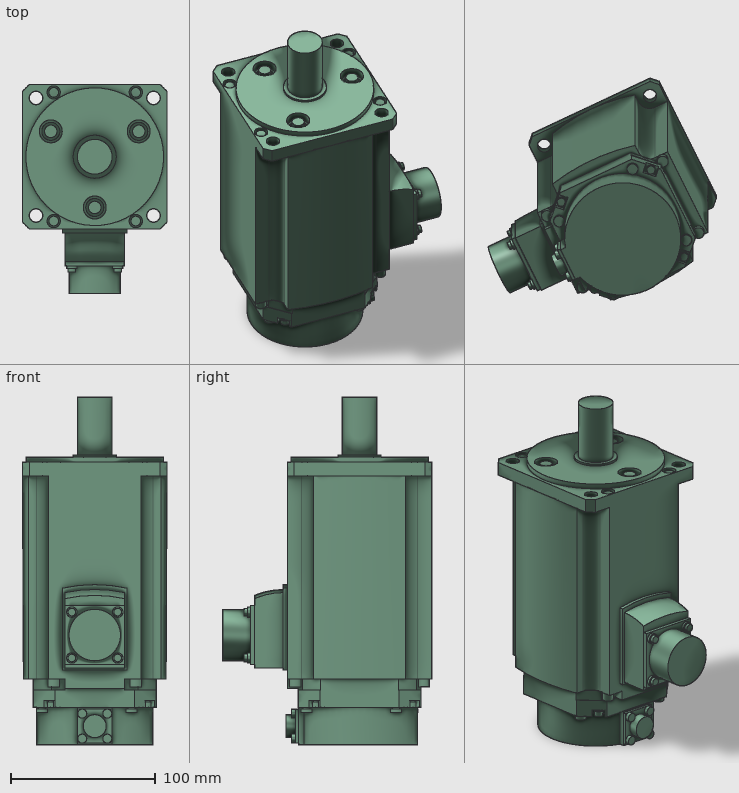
import cadquery as cq
import math

overall_height = 240.5
flange_size = 100.0
half_flange = flange_size / 2
front_face_y = -half_flange
overlap = 1.0

encoder_top = 26.0
body_bottom = 45.5
body_top = 186.1
flange_top = 195.5
pilot_top = 199.1
collar_top = 200.5

shaft_radius = 12.0
collar_radius = 15.0
pilot_radius = 47.5
flange_chamfer = 4.8
mount_hole_spacing = 2 * 40.6
mount_hole_radius = 4.5

pilot_screw_circle = 35.0
pilot_screw_count = 3
pilot_screw_radius = 4.3
pilot_recess_radius = 8.0
pilot_recess_depth = 6.0
pilot_bore_radius = 6.3
pilot_bore_depth = 8.5
screw_top_drop = 1.2

tie_bolt_x = 28.4
tie_bolt_y = 44.5
tie_end_radius = 3.4
tie_recess_radius = 4.5
tie_recess_depth = 3.5
tie_head_radius = 3.8
tie_head_height = 5.3

face_half_width = 32.0
groove_radius = 8.5
groove_floor_y = 31.7
side_edge_x = 46.0
side_bulge_top_x = half_flange
side_bulge_bottom_x = 49.5

adapter_size = 85.1
adapter_half = adapter_size / 2
adapter_chamfer = 15.2
adapter_upper_chamfer = 15.6
notch_x = 20.5
notch_y = 39.5
notch_floor = 38.0
tongue_bottom = 39.0

pocket_width = 9.1
pocket_depth = 6.3
pocket_top = 30.8
pocket_neck_radius = 2.2
pocket_screw_radius = 3.0
pocket_screw_top = 29.5
pocket_screw_inset = 3.0

encoder_radius = 40.2
encoder_pad_y = -42.0
encoder_pad_width = 23.5
clamp_circle = 44.5
clamp_angle = math.degrees(math.atan2(10.5, 15.2))
clamp_head_radius = 3.8
clamp_neck_radius = 2.5
clamp_head_bottom = 22.4
clamp_head_top = 25.0

signal_plate_bottom = 1.2
signal_plate_width = 24.0
signal_plate_height = 23.5
signal_plate_y = -44.3
signal_z = signal_plate_bottom + signal_plate_height / 2
signal_plug_radius = 8.0
signal_plug_end_y = -51.0
signal_screw_pitch = 17.3
signal_screw_radius = 3.1
signal_screw_height = 3.0

dome_axis_z = 7.5
base_half_width = 22.4
base_bottom = 51.7
base_top_radius = 103.5
base_y = -53.0
box_half_width = 20.7
box_bottom = 53.2
box_top_radius = 100.0
box_slope_radius = 49.8
box_y = -72.6
power_z = 76.0
power_plate_y = -75.5
power_plate_half_width = 20.5
power_plug_radius = 17.8
power_plug_end_y = -94.8
power_screw_pitch = 31.7
power_washer_radius = 3.5
power_washer_height = 2.0
power_screw_radius = 2.6
power_screw_height = 4.3


def disc(radius, bottom, top):
    """Cylinder on the Z axis between two heights."""
    return cq.Workplane("XY").workplane(offset=bottom).circle(radius).extrude(top - bottom)


def block(x_range, y_range, z_range):
    """Axis-aligned box between pairs of limits."""
    size = [high - low for low, high in (x_range, y_range, z_range)]
    return cq.Workplane("XY").box(*size, centered=False).translate((x_range[0], y_range[0], z_range[0]))


def forward_studs(points, radius, start_y, end_y):
    """Cylinders along -Y at the given (x, z) points."""
    plane = cq.Workplane("XZ", origin=(0, start_y, 0))
    return plane.pushPoints(points).circle(radius).extrude(start_y - end_y)


def square_points(pitch, center_z):
    """Corners of a square in the XZ plane, centred at x = 0."""
    half = pitch / 2
    return [(x, center_z + z) for x in (-half, half) for z in (-half, half)]


def four_around(shape):
    """The shape repeated every quarter turn about Z."""
    copies = shape
    for turn in range(1, 4):
        copies = copies.union(shape.rotate((0, 0, 0), (0, 0, 1), 90 * turn))
    return copies


tie_points = [(x, y) for x in (-tie_bolt_x, tie_bolt_x) for y in (-tie_bolt_y, tie_bolt_y)]


def recess_screw(part, points, recesses, screw_radius, face_z):
    """Cut stepped recesses below a face and leave the screw end standing in each."""
    deepest = max(depth for _, depth in recesses)
    face = cq.Workplane("XY").workplane(offset=face_z).pushPoints(points)
    for radius, depth in recesses:
        part = part.cut(face.circle(radius).extrude(-depth))
    floor = cq.Workplane("XY").workplane(offset=face_z - deepest - overlap).pushPoints(points)
    return part.union(floor.circle(screw_radius).extrude(deepest + overlap - screw_top_drop))


def make_flange():
    flange = block((-half_flange, half_flange), (-half_flange, half_flange), (body_top, flange_top))
    flange = flange.edges("|Z").chamfer(flange_chamfer)
    holes = cq.Workplane("XY").workplane(offset=body_top)
    holes = holes.rect(mount_hole_spacing, mount_hole_spacing, forConstruction=True).vertices()
    flange = flange.cut(holes.circle(mount_hole_radius).extrude(flange_top - body_top))
    flange = flange.union(disc(pilot_radius, body_top, pilot_top))
    tie_steps = [(tie_recess_radius, tie_recess_depth)]
    flange = recess_screw(flange, tie_points, tie_steps, tie_end_radius, flange_top)
    angles = [math.radians(-90 + 360 / pilot_screw_count * i) for i in range(pilot_screw_count)]
    pilot_points = [(pilot_screw_circle * math.cos(a), pilot_screw_circle * math.sin(a)) for a in angles]
    pilot_steps = [(pilot_recess_radius, pilot_recess_depth), (pilot_bore_radius, pilot_bore_depth)]
    flange = recess_screw(flange, pilot_points, pilot_steps, pilot_screw_radius, pilot_top)
    flange = flange.union(disc(collar_radius, flange_top, collar_top))
    return flange.union(disc(shaft_radius, flange_top, overall_height))


def body_outline(work, bulge_x):
    """Square outline with grooved corners and bulged left and right sides."""
    groove_x = face_half_width + groove_radius
    groove_y = groove_floor_y + groove_radius
    diagonal = groove_radius * math.sqrt(0.5)
    arc_mid = (groove_x - diagonal, groove_y - diagonal)
    return (
        work.moveTo(-face_half_width, -half_flange)
        .lineTo(face_half_width, -half_flange)
        .lineTo(face_half_width, -groove_y)
        .threePointArc((arc_mid[0], -arc_mid[1]), (groove_x, -groove_floor_y))
        .lineTo(side_edge_x, -groove_floor_y)
        .threePointArc((bulge_x, 0), (side_edge_x, groove_floor_y))
        .lineTo(groove_x, groove_floor_y)
        .threePointArc(arc_mid, (face_half_width, groove_y))
        .lineTo(face_half_width, half_flange)
        .lineTo(-face_half_width, half_flange)
        .lineTo(-face_half_width, groove_y)
        .threePointArc((-arc_mid[0], arc_mid[1]), (-groove_x, groove_floor_y))
        .lineTo(-side_edge_x, groove_floor_y)
        .threePointArc((-bulge_x, 0), (-side_edge_x, -groove_floor_y))
        .lineTo(-groove_x, -groove_floor_y)
        .threePointArc((-arc_mid[0], -arc_mid[1]), (-face_half_width, -groove_y))
        .close()
    )


def make_body():
    lower = body_outline(cq.Workplane("XY").workplane(offset=body_bottom), side_bulge_bottom_x)
    body = body_outline(lower.workplane(offset=body_top - body_bottom), side_bulge_top_x).loft(ruled=True)
    heads = cq.Workplane("XY").workplane(offset=body_bottom - tie_head_height).pushPoints(tie_points)
    return body.union(heads.circle(tie_head_radius).extrude(tie_head_height))


def make_adapter():
    half = adapter_half
    lower = block((-half, half), (-half, half), (encoder_top, notch_floor))
    upper = block((-half, half), (-half, half), (notch_floor, body_bottom))
    adapter = lower.edges("|Z").chamfer(adapter_chamfer)
    adapter = adapter.union(upper.edges("|Z").chamfer(adapter_upper_chamfer))
    for x_range in ((-half, -notch_x), (notch_x, half)):
        for y_range in ((-half, -notch_y), (notch_y, half)):
            adapter = adapter.cut(block(x_range, y_range, (notch_floor, body_bottom)))
    tongue = block((-notch_x, notch_x), (front_face_y, -notch_y), (tongue_bottom, body_bottom))
    adapter = adapter.union(tongue)
    chamfer_distance = (adapter_size - adapter_chamfer) * math.sqrt(0.5)
    pocket = block(
        (chamfer_distance - pocket_depth, chamfer_distance + overlap),
        (0, pocket_width),
        (encoder_top, pocket_top),
    )
    center = (chamfer_distance - pocket_screw_inset, pocket_width / 2, 0)
    screw = disc(pocket_screw_radius, encoder_top, pocket_screw_top).translate(center)
    neck = disc(pocket_neck_radius, pocket_screw_top, pocket_top + overlap).translate(center)
    adapter = adapter.cut(four_around(pocket.rotate((0, 0, 0), (0, 0, 1), 45)))
    return adapter.union(four_around(screw.union(neck).rotate((0, 0, 0), (0, 0, 1), 45)))


def make_encoder():
    encoder = disc(encoder_radius, 0, encoder_top)
    half_pad = encoder_pad_width / 2
    encoder = encoder.union(block((-half_pad, half_pad), (encoder_pad_y, 0), (0, encoder_top)))
    clamp = disc(clamp_head_radius, clamp_head_bottom, clamp_head_top)
    clamp = clamp.union(disc(clamp_neck_radius, clamp_head_bottom, encoder_top + overlap))
    clamp = clamp.translate((clamp_circle, 0, 0)).rotate((0, 0, 0), (0, 0, 1), clamp_angle)
    return encoder.union(four_around(clamp))


def make_signal_connector():
    half_plate = signal_plate_width / 2
    plate_top = signal_plate_bottom + signal_plate_height
    plate = block(
        (-half_plate, half_plate), (signal_plate_y, encoder_pad_y), (signal_plate_bottom, plate_top)
    )
    screws = square_points(signal_screw_pitch, signal_z)
    plug = forward_studs([(0, signal_z)], signal_plug_radius, signal_plate_y + overlap, signal_plug_end_y)
    heads = forward_studs(
        screws, signal_screw_radius, signal_plate_y + overlap, signal_plate_y - signal_screw_height
    )
    return plate.union(plug).union(heads)


def domed_box(half_width, bottom, profile):
    """Turn a (y, radius) profile about the dome axis and trim it to a box."""
    dome = profile.revolve(360, (0, 0, 0), (1, 0, 0))
    dome = dome.rotate((0, 0, 0), (0, 0, 1), 90).translate((0, 0, dome_axis_z))
    limits = block((-half_width, half_width), (box_y, front_face_y + overlap), (bottom, overall_height))
    return dome.intersect(limits)


def make_power_connector():
    back_y = front_face_y + overlap
    base_profile = cq.Workplane("XY").moveTo(back_y, 0).lineTo(back_y, base_top_radius)
    base_profile = base_profile.lineTo(base_y, base_top_radius).lineTo(base_y, 0).close()
    base = domed_box(base_half_width, base_bottom, base_profile)

    slope_angle = math.asin((base_y - box_y) / box_slope_radius)

    def slope_point(angle):
        drop = box_slope_radius * (1 - math.cos(angle))
        return (base_y - box_slope_radius * math.sin(angle), box_top_radius - drop)

    box_profile = cq.Workplane("XY").moveTo(back_y, 0).lineTo(back_y, box_top_radius)
    box_profile = box_profile.lineTo(base_y, box_top_radius)
    box_profile = box_profile.threePointArc(slope_point(slope_angle / 2), slope_point(slope_angle))
    box_profile = box_profile.lineTo(box_y, 0).close()
    box = domed_box(box_half_width, box_bottom, box_profile)

    plate = block(
        (-power_plate_half_width, power_plate_half_width),
        (power_plate_y, box_y + overlap),
        (power_z - power_plate_half_width, power_z + power_plate_half_width),
    )
    screws = square_points(power_screw_pitch, power_z)
    start_y = power_plate_y + overlap
    plug = forward_studs([(0, power_z)], power_plug_radius, start_y, power_plug_end_y)
    washers = forward_studs(screws, power_washer_radius, start_y, power_plate_y - power_washer_height)
    heads = forward_studs(screws, power_screw_radius, start_y, power_plate_y - power_screw_height)
    return base.union(box).union(plate).union(plug).union(washers).union(heads)


result = (
    make_body()
    .union(make_flange())
    .union(make_adapter())
    .union(make_encoder())
    .union(make_signal_connector())
    .union(make_power_connector())
    .clean()
)